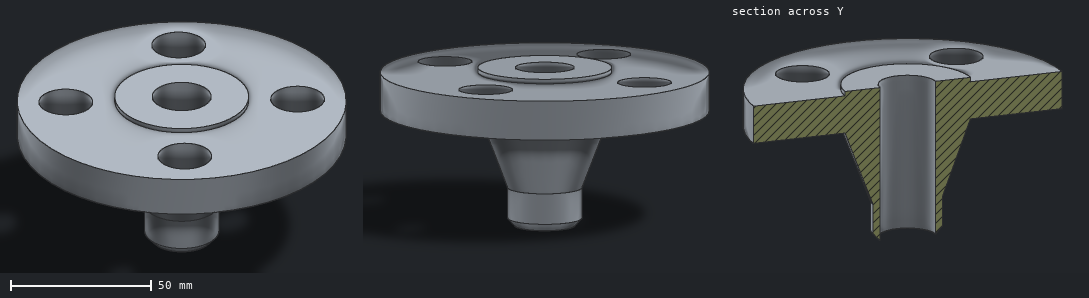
import cadquery as cq
import math

flange_diameter = 117.4
total_height = 57.3

raised_face_height = 1.6
flange_thickness = 14.1
hub_taper_height = 27.7
weld_bevel_height = 2.8

raised_face_diameter = 47.8
hub_top_diameter = 47.8
neck_diameter = 26.6
bore_diameter = 21.0
weld_land = 0.2

bolt_circle_diameter = 82.6
bolt_hole_diameter = 19.1
bolt_hole_count = 4
first_bolt_angle = 45.0

flange_top = total_height - raised_face_height
flange_bottom = flange_top - flange_thickness
neck_top = flange_bottom - hub_taper_height


def revolved_body():
    """Flange, raised face, tapered hub and bevelled neck with the bore open."""
    bore_radius = bore_diameter / 2
    neck_radius = neck_diameter / 2
    profile = [
        (bore_radius, 0),
        (bore_radius + weld_land, 0),
        (neck_radius, weld_bevel_height),
        (neck_radius, neck_top),
        (hub_top_diameter / 2, flange_bottom),
        (flange_diameter / 2, flange_bottom),
        (flange_diameter / 2, flange_top),
        (raised_face_diameter / 2, flange_top),
        (raised_face_diameter / 2, total_height),
        (bore_radius, total_height),
    ]
    return cq.Workplane("XZ").polyline(profile).close().revolve(360, (0, 0), (0, 1))


def bolt_holes():
    """Cylinders passing through the flange on the bolt circle."""
    centres = []
    for index in range(bolt_hole_count):
        angle = math.radians(first_bolt_angle + index * 360 / bolt_hole_count)
        radius = bolt_circle_diameter / 2
        centres.append((radius * math.cos(angle), radius * math.sin(angle)))
    return (
        cq.Workplane("XY", origin=(0, 0, flange_bottom))
        .pushPoints(centres)
        .circle(bolt_hole_diameter / 2)
        .extrude(flange_thickness)
    )


result = revolved_body().cut(bolt_holes())